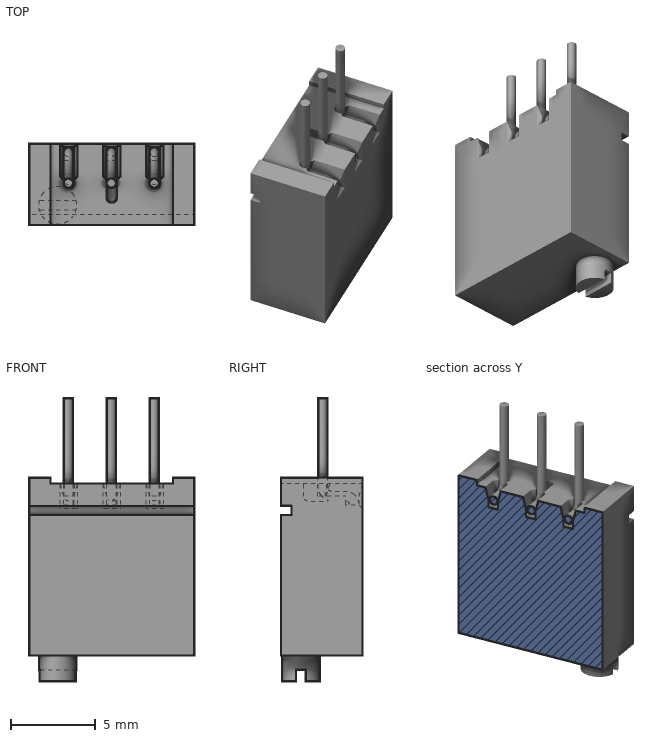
import cadquery as cq
import math

width = 9.78
thickness = 4.83
floor_height = 10.20
rim_height = 0.34
rim_width = 1.27
housing_height = floor_height + rim_height
front_y = -thickness / 2
back_y = thickness / 2

groove_drop = 1.67
groove_height = 0.54
groove_depth = 0.62
groove_top = housing_height - groove_drop

screw_diameter = 2.24
screw_length = 1.52
screw_side_offset = 1.69
screw_front_offset = 1.18
screw_slot_width = 0.56
screw_slot_depth = 0.69
screw_x = -width / 2 + screw_side_offset
screw_y = front_y + screw_front_offset

pin_diameter = 0.56
pin_height = 5.04
pin_pitch = 2.54
pin_y = 0.07
lead_offset_x = -0.025
lead_depth = 0.75
bend_radius = 0.52
run_length = 0.81
lead_tail = 0.50
outer_recess_x = [-pin_pitch, pin_pitch]
recess_x = outer_recess_x + [0]
pin_top = floor_height + pin_height
lead_z = floor_height - lead_depth
run_start_y = pin_y + bend_radius
run_end_y = run_start_y + run_length

recess_width = 1.02
channel_width = 0.62
recess_front_gap = 0.20
back_groove_depth = 0.21
pin_hole_diameter = 0.66
recess_half = recess_width / 2
channel_half = channel_width / 2
wall_inset = recess_half - channel_half
recess_front_y = pin_y + recess_front_gap

middle_slot_reach = 1.15
middle_slot_length = 1.60

diagonal = math.sqrt(0.5)


def box(x_min, x_max, y_min, y_max, z_min, z_max):
    block = cq.Workplane("XY").box(x_max - x_min, y_max - y_min, z_max - z_min, centered=False)
    return block.translate((x_min, y_min, z_min))


def housing():
    body = box(-width / 2, width / 2, front_y, back_y, 0, housing_height)
    inner = width / 2 - rim_width
    body = body.cut(box(-inner, inner, front_y, back_y, floor_height, housing_height))
    groove = box(-width / 2, width / 2, front_y, front_y + groove_depth, groove_top - groove_height, groove_top)
    return body.cut(groove)


def screw():
    shaft = cq.Workplane("XY").center(screw_x, screw_y).circle(screw_diameter / 2).extrude(-screw_length)
    slot = box(
        screw_x - screw_diameter / 2,
        screw_x + screw_diameter / 2,
        screw_y - screw_slot_width / 2,
        screw_y + screw_slot_width / 2,
        -screw_length,
        -screw_length + screw_slot_depth,
    )
    return shaft.cut(slot)


def lead(x):
    bend_offset = bend_radius * diagonal
    tail_y = run_end_y + bend_radius
    upper_bend_z = lead_z + bend_radius
    lower_bend_z = lead_z - bend_radius
    path = (
        cq.Workplane("YZ", origin=(x, 0, 0))
        .moveTo(pin_y, pin_top)
        .lineTo(pin_y, upper_bend_z)
        .threePointArc((run_start_y - bend_offset, upper_bend_z - bend_offset), (run_start_y, lead_z))
        .lineTo(run_end_y, lead_z)
        .threePointArc((run_end_y + bend_offset, lower_bend_z + bend_offset), (tail_y, lower_bend_z))
        .lineTo(tail_y, lower_bend_z - lead_tail)
    )
    return cq.Workplane("XY", origin=(x, pin_y, pin_top)).circle(pin_diameter / 2).sweep(path)


def top_groove(x):
    tapered_trough = (
        cq.Workplane("XZ", origin=(x, back_y, 0))
        .moveTo(-recess_half, floor_height)
        .lineTo(recess_half, floor_height)
        .lineTo(channel_half, lead_z)
        .lineTo(-channel_half, lead_z)
        .close()
        .extrude(back_y - recess_front_y)
    )
    outline = (
        cq.Workplane("XY", origin=(x, 0, lead_z))
        .moveTo(-recess_half, back_y)
        .lineTo(-recess_half, recess_front_y + wall_inset)
        .lineTo(-channel_half, recess_front_y)
        .lineTo(channel_half, recess_front_y)
        .lineTo(recess_half, recess_front_y + wall_inset)
        .lineTo(recess_half, back_y)
        .close()
        .extrude(lead_depth)
    )
    return tapered_trough.intersect(outline)


def back_groove(x):
    taper = math.degrees(math.atan2(wall_inset, back_groove_depth))
    bottom = lead_z - bend_radius - back_groove_depth
    top = housing_height + recess_width
    return (
        cq.Workplane("XZ", origin=(x, back_y, (bottom + top) / 2))
        .rect(recess_width, top - bottom)
        .extrude(back_groove_depth, taper=taper)
    )


def bend_clearance(x):
    return box(
        x - channel_half,
        x + channel_half,
        run_end_y,
        back_y - back_groove_depth,
        lead_z - bend_radius,
        lead_z,
    )


def pin_hole(x):
    return cq.Workplane("XY", origin=(x, pin_y, lead_z)).circle(pin_hole_diameter / 2).extrude(lead_depth)


def middle_slot():
    radius = channel_half
    arc_offset = radius * diagonal
    front_centre_y = pin_y - middle_slot_reach + radius
    rear_centre_y = front_centre_y + middle_slot_length - channel_width
    rounded_trough = (
        cq.Workplane("XY", origin=(0, 0, lead_z))
        .moveTo(0, front_centre_y - radius)
        .threePointArc((arc_offset, front_centre_y - arc_offset), (radius, front_centre_y))
        .lineTo(radius, rear_centre_y)
        .threePointArc((arc_offset, rear_centre_y + arc_offset), (0, rear_centre_y + radius))
        .close()
        .revolve(360, (0, 0, 0), (0, 1, 0))
    )
    upright_walls = (
        cq.Workplane("XY", origin=(0, (front_centre_y + rear_centre_y) / 2, lead_z))
        .slot2D(middle_slot_length, channel_width, 90)
        .extrude(lead_depth)
    )
    return upright_walls.union(rounded_trough)


result = housing().union(screw())
for x in recess_x:
    result = result.cut(top_groove(x)).cut(back_groove(x)).cut(bend_clearance(x))
for x in outer_recess_x:
    result = result.cut(pin_hole(x))
result = result.cut(middle_slot())
for x in recess_x:
    result = result.union(lead(x + lead_offset_x))